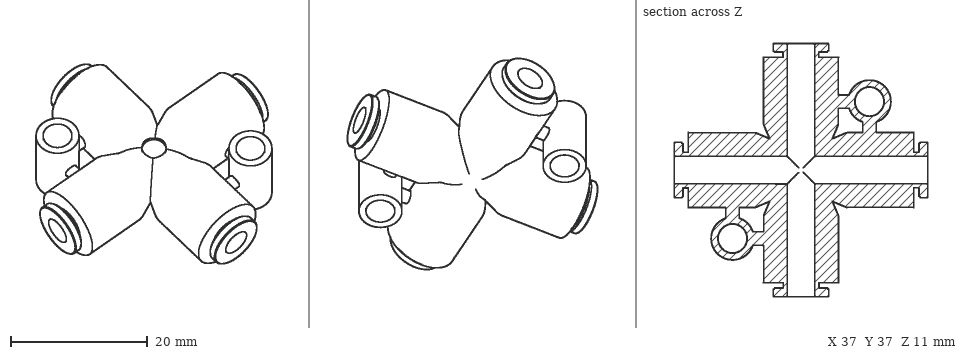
import cadquery as cq

span = 37.05
height = 11.0
body_radius = height / 2

body_end = 16.5
taper_start = 6.7
taper_end = 3.52
taper_blend_radius = 1.3
core_radius = 4.15
selection_margin = 0.37

button_radius = 4.07
button_thickness = 1.3
button_inner_chamfer = 0.22
button_outer_chamfer = 0.1
button_neck_radius = 2.63
bore_radius = 2.0

eye_offset = 10.0
eye_outer_radius = 3.15
eye_inner_radius = 2.1
pin_radius = 1.0

recess_radius = 1.78
recess_floor_height = 3.63


def socket_body():
    """One body along +X with blended taper, its inner end at the centre of the cross."""
    profile = (
        cq.Workplane("XY")
        .polyline([
            (0, 0),
            (0, core_radius),
            (taper_end, core_radius),
            (taper_start, body_radius),
            (body_end, body_radius),
            (body_end, 0),
        ])
        .close()
    )
    body = profile.revolve(360, (0, 0, 0), (1, 0, 0))
    near_taper = cq.selectors.BoxSelector(
        (taper_end - selection_margin, -height, -height),
        (taper_start + selection_margin, height, height),
        boundingbox=True,
    )
    return body.edges("%CIRCLE").edges(near_taper).fillet(taper_blend_radius)


def release_button():
    """Flanged collar with a narrower neck at the open end of the +X body."""
    button_start = span / 2 - button_thickness
    neck = cq.Workplane("YZ").circle(button_neck_radius).extrude(button_start)
    flange = (
        cq.Workplane("YZ", origin=(button_start, 0, 0))
        .circle(button_radius)
        .extrude(button_thickness)
        .faces("<X")
        .chamfer(button_inner_chamfer)
        .faces(">X")
        .chamfer(button_outer_chamfer)
    )
    return neck.union(flange)


def mounting_eye():
    """Eye in the +X +Y corner with its two pins reaching into the neighbouring bodies."""
    eye = cq.Workplane("XY").circle(eye_outer_radius).extrude(height / 2, both=True)
    eye = eye.translate((eye_offset, eye_offset, 0))
    pin_to_y_body = cq.Workplane("YZ").center(eye_offset, 0).circle(pin_radius).extrude(eye_offset)
    pin_to_x_body = cq.Workplane("XZ").center(eye_offset, 0).circle(pin_radius).extrude(-eye_offset)
    hole = (
        cq.Workplane("XY")
        .center(eye_offset, eye_offset)
        .circle(eye_inner_radius)
        .extrude(height / 2, both=True)
    )
    return eye.union(pin_to_y_body).union(pin_to_x_body).cut(hole)


def turned(shape, angle):
    """Copy of a shape turned about the vertical axis."""
    return shape.rotate((0, 0, 0), (0, 0, 1), angle)


arm = socket_body().union(release_button())
result = arm
for angle in (90, 180, 270):
    result = result.union(turned(arm, angle))

eye = mounting_eye()
for angle in (0, 180):
    result = result.union(turned(eye, angle))

bore = cq.Workplane("YZ").circle(bore_radius).extrude(span / 2, both=True)
for angle in (0, 90):
    result = result.cut(turned(bore, angle))

recess = cq.Workplane("XY", origin=(0, 0, recess_floor_height)).circle(recess_radius).extrude(body_radius)
result = result.cut(recess)